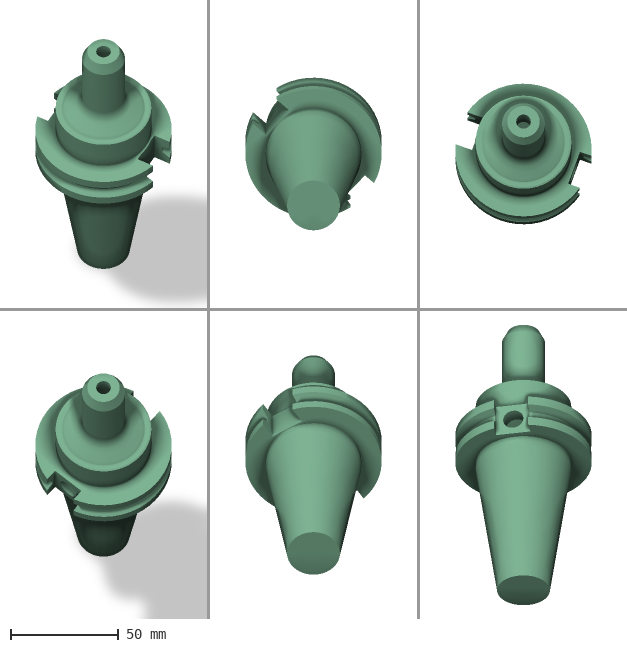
import cadquery as cq
import math

total_height = 144.5
taper_length = 68.3
collar_length = 3.3
flange_thickness = 15.9
body_height = 16.0
shank_shoulder_height = 8.5

taper_diameter = 44.5
taper_ratio = 7 / 24
flange_diameter = 63.4
groove_diameter = 56.0
groove_floor_width = 3.3
groove_wall_height = 1.9

body_diameter = 44.5
body_base_fillet = 0.7
body_top_chamfer_width = 0.7
body_top_chamfer_height = 0.3
shank_diameter = 20.0
shank_fillet = 5.0
shoulder_slope = 32.0
tip_diameter = 15.0
tip_length = 4.9

slot_width = 16.2
slot_floor_left = 25.0
slot_floor_right = 22.5
slot_hole_diameter = 9.5
slot_hole_depth = 7.2
tip_hole_diameter = 6.8
tip_hole_depth = 14.5

flange_bottom = taper_length + collar_length
flange_top = flange_bottom + flange_thickness
flange_middle = flange_bottom + flange_thickness / 2
body_top = flange_top + body_height
shoulder_top = body_top + shank_shoulder_height


def make_revolved_body():
    """Revolve the half outline of taper, flange, body and shank."""
    taper_radius = taper_diameter / 2
    small_radius = taper_radius - taper_length * taper_ratio / 2
    flange_radius = flange_diameter / 2
    groove_radius = groove_diameter / 2
    floor_half = groove_floor_width / 2
    mouth_half = floor_half + groove_wall_height
    body_radius = body_diameter / 2
    shank_radius = shank_diameter / 2

    turn = math.radians(90 - shoulder_slope)
    fillet_center = shank_radius + shank_fillet

    def fillet_point(angle):
        return (
            fillet_center - shank_fillet * math.cos(angle),
            shoulder_top - shank_fillet * math.sin(angle),
        )

    cone_radius, cone_top = fillet_point(turn)
    cone_base_radius = cone_radius + (cone_top - body_top) / math.tan(math.radians(shoulder_slope))
    base_fillet_diagonal = body_base_fillet * (1 - math.sqrt(0.5))

    outline = (
        cq.Workplane("XZ")
        .lineTo(small_radius, 0)
        .lineTo(taper_radius, taper_length)
        .lineTo(taper_radius, flange_bottom)
        .lineTo(flange_radius, flange_bottom)
        .lineTo(flange_radius, flange_middle - mouth_half)
        .lineTo(groove_radius, flange_middle - floor_half)
        .lineTo(groove_radius, flange_middle + floor_half)
        .lineTo(flange_radius, flange_middle + mouth_half)
        .lineTo(flange_radius, flange_top)
        .lineTo(body_radius + body_base_fillet, flange_top)
        .threePointArc(
            (body_radius + base_fillet_diagonal, flange_top + base_fillet_diagonal),
            (body_radius, flange_top + body_base_fillet),
        )
        .lineTo(body_radius, body_top - body_top_chamfer_height)
        .lineTo(body_radius - body_top_chamfer_width, body_top)
        .lineTo(cone_base_radius, body_top)
        .lineTo(cone_radius, cone_top)
        .threePointArc(fillet_point(turn / 2), fillet_point(0))
        .lineTo(shank_radius, total_height - tip_length)
        .lineTo(tip_diameter / 2, total_height)
        .lineTo(0, total_height)
        .close()
    )
    return outline.revolve(360, (0, 0, 0), (0, 1, 0))


def make_drive_slot(floor_distance, side):
    """Slot through the flange; side is -1 for -X and +1 for +X."""
    slot_length = flange_diameter / 2
    return cq.Workplane("XY").box(slot_length, slot_width, flange_thickness).translate(
        (side * (floor_distance + slot_length / 2), 0, flange_middle)
    )


def make_slot_hole():
    """Blind hole in the floor of the -X slot."""
    return (
        cq.Workplane("YZ", origin=(-slot_floor_left, 0, flange_middle))
        .circle(slot_hole_diameter / 2)
        .extrude(slot_hole_depth)
    )


def make_tip_hole():
    """Blind hole down the axis from the tip."""
    return (
        cq.Workplane("XY", origin=(0, 0, total_height - tip_hole_depth))
        .circle(tip_hole_diameter / 2)
        .extrude(tip_hole_depth)
    )


result = (
    make_revolved_body()
    .cut(make_drive_slot(slot_floor_left, -1))
    .cut(make_drive_slot(slot_floor_right, 1))
    .cut(make_slot_hole())
    .cut(make_tip_hole())
)